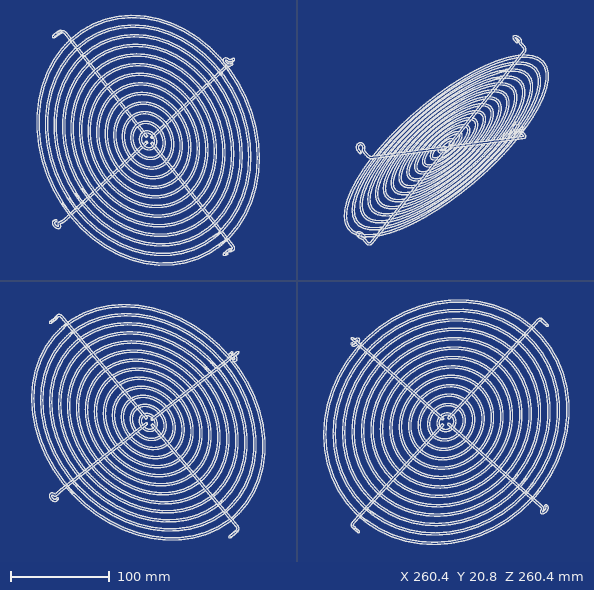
import cadquery as cq
import math


OUTER_RADIUS = 130.2
DEPTH = 20.8

RING_WIRE_RADIUS = 1.25
INNERMOST_RING_RADIUS = 8.9
RING_COUNT = 13
WELDED_RING_COUNT = 4
WELD_DEPTH = 0.3

SPOKE_COUNT = 4
SPOKE_WIRE_RADIUS = 1.2
TIP_RADIUS = 4.0
MOUNT_HALF_SPACING = 100.0
ELBOW_RADIUS = 3.6

LOOP_RADIUS = 4.0
NECK_RADIUS = 2.0
FREE_END_LENGTH = 4.0

OUTER_RING_RADIUS = OUTER_RADIUS - RING_WIRE_RADIUS
RING_PITCH = (OUTER_RING_RADIUS - INNERMOST_RING_RADIUS) / (RING_COUNT - 1)
FREE_RING_Y = -(SPOKE_WIRE_RADIUS + RING_WIRE_RADIUS)
WELDED_RING_Y = FREE_RING_Y + WELD_DEPTH
STEM_RADIUS = MOUNT_HALF_SPACING * math.sqrt(2)
LOOP_Y = 2 * SPOKE_WIRE_RADIUS + LOOP_RADIUS - DEPTH
NECK_TO_LOOP = LOOP_RADIUS + NECK_RADIUS
NECK_ANGLE = math.acos(NECK_RADIUS / NECK_TO_LOOP)
NECK_Y = LOOP_Y + NECK_TO_LOOP * math.sin(NECK_ANGLE)


def ring(index, y):
    """Ring number `index`, counted inward from the outermost."""
    radius = OUTER_RING_RADIUS - index * RING_PITCH
    section = cq.Workplane("XY").center(radius, y).circle(RING_WIRE_RADIUS)
    return section.revolve(360, (-radius, 0, 0), (-radius, 1, 0))


def spoke():
    """One spoke along +X with its elbow, stem and hook loop."""

    def elbow(angle):
        return cq.Vector(
            STEM_RADIUS - ELBOW_RADIUS * (1 - math.sin(angle)), -ELBOW_RADIUS * (1 - math.cos(angle)), 0
        )

    def neck(angle):
        return cq.Vector(
            STEM_RADIUS, NECK_Y - NECK_RADIUS * math.sin(angle), NECK_RADIUS * (1 - math.cos(angle))
        )

    def loop(angle):
        return cq.Vector(
            STEM_RADIUS, LOOP_Y + LOOP_RADIUS * math.sin(angle), LOOP_RADIUS * math.cos(angle)
        )

    def arc(curve, start, end):
        return cq.Edge.makeThreePointArc(curve(start), curve((start + end) / 2), curve(end))

    tip = cq.Vector(TIP_RADIUS, 0, 0)
    loop_end = loop(-math.pi)
    path = cq.Wire.assembleEdges(
        [
            cq.Edge.makeLine(tip, elbow(0)),
            arc(elbow, 0, math.pi / 2),
            cq.Edge.makeLine(elbow(math.pi / 2), neck(0)),
            arc(neck, 0, NECK_ANGLE),
            arc(loop, NECK_ANGLE, -math.pi),
            cq.Edge.makeLine(loop_end, loop_end + cq.Vector(0, FREE_END_LENGTH, 0)),
        ]
    )
    section = cq.Workplane("YZ", origin=tip.toTuple()).circle(SPOKE_WIRE_RADIUS)
    return section.sweep(cq.Workplane(obj=path))


def frame():
    """The outermost rings welded to all the spokes."""
    body = ring(0, WELDED_RING_Y)
    for index in range(1, WELDED_RING_COUNT):
        body = body.union(ring(index, WELDED_RING_Y))
    spacing = 360 / SPOKE_COUNT
    for index in range(SPOKE_COUNT):
        angle = (index + 0.5) * spacing
        body = body.union(spoke().rotate((0, 0, 0), (0, 1, 0), -angle))
    return body


welded_frame = frame()
free_rings = [ring(index, FREE_RING_Y) for index in range(WELDED_RING_COUNT, RING_COUNT)]

result = cq.Compound.makeCompound([welded_frame.val(), *[free_ring.val() for free_ring in free_rings]])